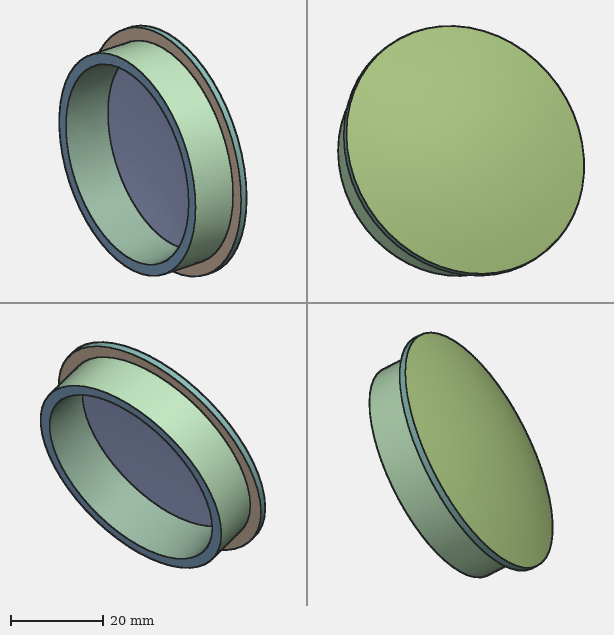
import cadquery as cq
import math

flange_radius = 28.0
flange_thickness = 1.5
dome_rise = 4.5
plug_radius = 25.05
plug_length = 10.0
mouth_radius = 22.5
floor_radius = 22.1
shell_thickness = 2.25

dome_base = plug_length + flange_thickness
dome_top = dome_base + dome_rise
dome_sphere_radius = (flange_radius**2 + dome_rise**2) / (2 * dome_rise)
sphere_center = dome_top - dome_sphere_radius
floor_sphere_radius = dome_sphere_radius - shell_thickness


def floor_height(radius):
    """Y position of the hollow's floor at a distance from the axis."""
    return sphere_center + math.sqrt(floor_sphere_radius**2 - radius**2)


def dome_height(radius):
    """Y position of the outer dome at a distance from the axis."""
    return sphere_center + math.sqrt(dome_sphere_radius**2 - radius**2)


section = (
    cq.Workplane("XY")
    .moveTo(mouth_radius, 0)
    .lineTo(plug_radius, 0)
    .lineTo(plug_radius, plug_length)
    .lineTo(flange_radius, plug_length)
    .lineTo(flange_radius, dome_base)
    .threePointArc((flange_radius / 2, dome_height(flange_radius / 2)), (0, dome_top))
    .lineTo(0, floor_height(0))
    .threePointArc(
        (floor_radius / 2, floor_height(floor_radius / 2)),
        (floor_radius, floor_height(floor_radius)),
    )
    .close()
)

result = section.revolve(360, (0, 0, 0), (0, 1, 0))